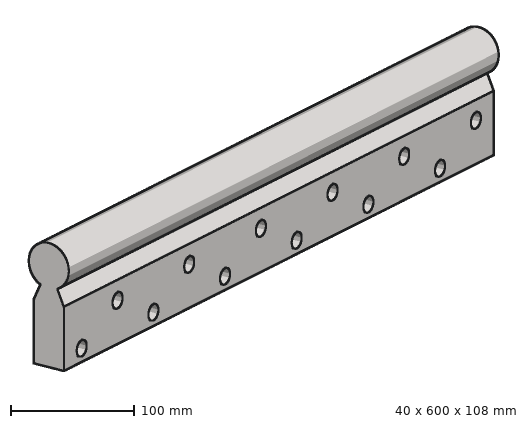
import cadquery as cq
import math

LENGTH = 600.0
HEIGHT = 108.0

BAR_DIAMETER = 40.0
WEB_WIDTH = 30.0
SHOULDER_HEIGHT = 55.9
NECK_WIDTH = 17.0

HOLE_DIAMETER = 14.0
HOLE_PITCH = 100.0
HOLES_PER_ROW = 6
END_MARGIN = 25.0
LOWER_ROW_HEIGHT = 12.0
UPPER_ROW_HEIGHT = 38.0

BAR_RADIUS = BAR_DIAMETER / 2
BAR_CENTER_HEIGHT = HEIGHT - BAR_RADIUS
HALF_WEB = WEB_WIDTH / 2
HALF_NECK = NECK_WIDTH / 2
NECK_HEIGHT = BAR_CENTER_HEIGHT - math.sqrt(BAR_RADIUS**2 - HALF_NECK**2)
HALF_LENGTH = LENGTH / 2
ROW_STAGGER = HOLE_PITCH / 2


def rail_body():
    """Keyhole-shaped section: a straight web narrowing to a neck under a round bar."""
    return (
        cq.Workplane("XZ")
        .moveTo(-HALF_WEB, 0)
        .lineTo(HALF_WEB, 0)
        .lineTo(HALF_WEB, SHOULDER_HEIGHT)
        .lineTo(HALF_NECK, NECK_HEIGHT)
        .threePointArc((0, HEIGHT), (-HALF_NECK, NECK_HEIGHT))
        .lineTo(-HALF_WEB, SHOULDER_HEIGHT)
        .close()
        .extrude(HALF_LENGTH, both=True)
    )


def hole_row(first_y, height):
    """One row of through-hole cutters, stepping from first_y towards -Y."""
    centers = [(first_y - i * HOLE_PITCH, height) for i in range(HOLES_PER_ROW)]
    return (
        cq.Workplane("YZ")
        .pushPoints(centers)
        .circle(HOLE_DIAMETER / 2)
        .extrude(WEB_WIDTH, both=True)
    )


upper_first_y = HALF_LENGTH - END_MARGIN
lower_first_y = upper_first_y - ROW_STAGGER

result = (
    rail_body()
    .cut(hole_row(upper_first_y, UPPER_ROW_HEIGHT))
    .cut(hole_row(lower_first_y, LOWER_ROW_HEIGHT))
)